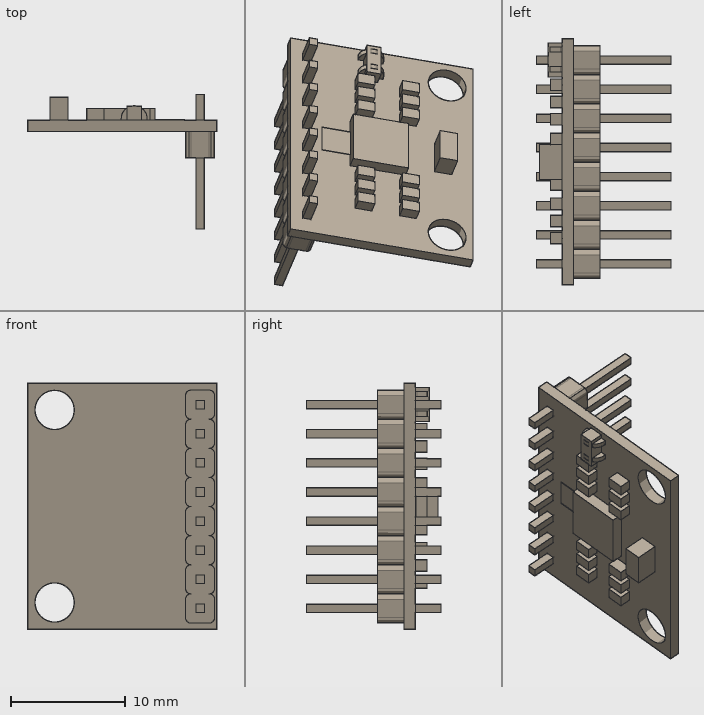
import cadquery as cq
import math

board_width = 16.5
board_height = 21.5
board_thickness = 1.0
mid_z = board_height / 2

mount_hole_diameter = 3.4
mount_hole_inset = 2.35

pin_count = 8
pin_pitch = 2.54
pin_size = 0.75
pin_length = 11.75
pin_rear_length = 2.25
header_depth = 2.3
header_x = board_width - 1.46
header_middle_z = 10.72
corner_run = 0.31
corner_drop = 0.02
corner_size = 0.48

chip_height = 1.03

passive_width = 1.5
passive_length = 1.02
passive_columns_x = [5.9, 9.92]
passive_pitch = 1.5
passive_rows_per_bank = 3
passive_middle_z = 10.77
passive_inner_offset = 3.69

main_chip_size = 5.0
main_chip_right_x = 11.12
main_chip_x = main_chip_right_x - main_chip_size / 2

tall_part_x = 2.73
tall_part_z = 10.72
tall_part_width = 1.58
tall_part_length = 3.05
tall_part_height = 2.0

pad_size = 2.55
pad_height = 0.05
pad_x = main_chip_right_x + pad_size / 2

regulator_x = 9.29
regulator_z = 19.63
regulator_width = 1.28
regulator_length = 3.0
regulator_height = 1.22
lead_radius = 1.13
lead_base_height = 0.13
lead_width = 0.46
lead_pitch = 1.72
lead_middle_z = 19.68


def rear_block(center_x, center_z, width, length, height):
    """Rectangular block standing on the component face of the board."""
    return (
        cq.Workplane("XY")
        .box(width, height, length, centered=(True, False, True))
        .translate((center_x, board_thickness, center_z))
    )


def pin_positions():
    """Centre heights of the pins, spread evenly about the middle of the header."""
    first = header_middle_z - (pin_count - 1) * pin_pitch / 2
    return [first + index * pin_pitch for index in range(pin_count)]


def pin(center_z):
    """Square pin running through the plastic and the board."""
    rear_end = board_thickness + pin_rear_length
    return (
        cq.Workplane("XY")
        .box(pin_size, pin_length, pin_size)
        .translate((header_x, rear_end - pin_length / 2, center_z))
    )


def regulator_lead(center_z):
    """Pair of leads in one slice: a half disc on a short straight base."""
    top_y = board_thickness + lead_base_height
    return (
        cq.Workplane("XY", origin=(regulator_x, 0, center_z - lead_width / 2))
        .moveTo(-lead_radius, board_thickness)
        .lineTo(-lead_radius, top_y)
        .threePointArc((0, top_y + lead_radius), (lead_radius, top_y))
        .lineTo(lead_radius, board_thickness)
        .close()
        .extrude(lead_width)
    )


def make_regulator():
    """Regulator body with two pairs of leads on its sides."""
    body = rear_block(regulator_x, regulator_z, regulator_width, regulator_length, regulator_height)
    for side in (-1, 1):
        body = body.union(regulator_lead(lead_middle_z + side * lead_pitch / 2))
    return body


def passive_rows():
    """Centre heights of the small components: one bank above the main chip and one below."""
    offsets = [passive_inner_offset + index * passive_pitch for index in range(passive_rows_per_bank)]
    return [passive_middle_z + side * offset for side in (-1, 1) for offset in offsets]


def make_board():
    """Board with mounting holes, pin holes and the components on its rear face."""
    board = cq.Workplane("XY").box(board_width, board_thickness, board_height, centered=False)
    for center_z in (mount_hole_inset, board_height - mount_hole_inset):
        hole = (
            cq.Workplane("XZ", origin=(mount_hole_inset, board_thickness, center_z))
            .circle(mount_hole_diameter / 2)
            .extrude(board_thickness)
        )
        board = board.cut(hole)
    for center_z in pin_positions():
        board = board.cut(pin(center_z))

    board = board.union(rear_block(main_chip_x, mid_z, main_chip_size, main_chip_size, chip_height))
    for center_x in passive_columns_x:
        for center_z in passive_rows():
            passive = rear_block(center_x, center_z, passive_width, passive_length, chip_height)
            board = board.union(passive)
    board = board.union(
        rear_block(tall_part_x, tall_part_z, tall_part_width, tall_part_length, tall_part_height)
    )
    board = board.union(rear_block(pad_x, mid_z, pad_size, pad_size, pad_height))
    return board.union(make_regulator())


def header_cell(center_z):
    """One cell of the plastic strip, its four corners rounded and ending in a short taper."""
    half = pin_pitch / 2
    diagonal = corner_size * (1 - math.sqrt(0.5))
    cell = cq.Workplane("XZ", origin=(header_x, 0, center_z)).moveTo(-half, 0)
    corners = [(-1, 1, True), (1, 1, False), (1, -1, True), (-1, -1, False)]
    for side_x, side_z, starts_on_side in corners:
        on_side = (side_x * half, side_z * (half - corner_size))
        on_arc = (side_x * (half - diagonal), side_z * (half - diagonal))
        arc_end = (side_x * (half - corner_run), side_z * (half - corner_drop))
        tip = (side_x * (half - corner_size), side_z * half)
        if starts_on_side:
            cell = cell.lineTo(*on_side).threePointArc(on_arc, arc_end).lineTo(*tip)
        else:
            cell = cell.lineTo(*tip).lineTo(*arc_end).threePointArc(on_arc, on_side)
    return cell.close().extrude(header_depth)


def make_header():
    """Pin header: the strip of plastic cells with its pins."""
    header = None
    for center_z in pin_positions():
        cell = header_cell(center_z).union(pin(center_z))
        header = cell if header is None else header.union(cell)
    return header


board = make_board()
header = make_header()
result = cq.Compound.makeCompound([board.val(), header.val()])